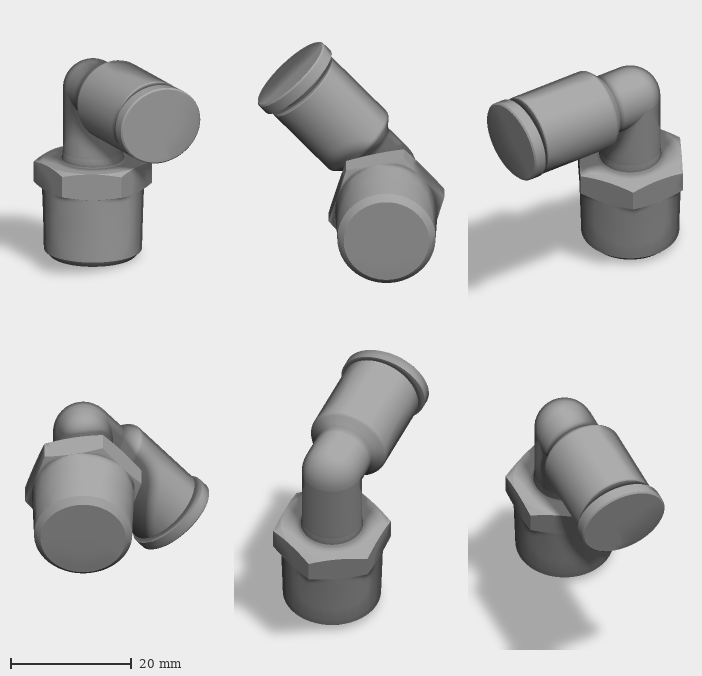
import cadquery as cq
import math

HEX_BOTTOM = 12.0
HEX_HEIGHT = 4.52
HEX_TOP = HEX_BOTTOM + HEX_HEIGHT
STEM_FOOT_RISE = 0.18
FOOT_TAPER_TOP = 17.98
SLEEVE_RADIUS = 6.8
OVERALL_HEIGHT = 35.6
PORT_AXIS_Z = OVERALL_HEIGHT - SLEEVE_RADIUS

THREAD_END_RADIUS = 8.15
RADIUS_GAIN_PER_LENGTH = 1 / 32
THREAD_CHAMFER = 1.07

HEX_ACROSS_FLATS = 17.0
HEX_CORNER_RADIUS = HEX_ACROSS_FLATS / math.sqrt(3)
HEX_CHAMFER_ANGLE = 20
HEX_FLAT_MARGIN = 0.05
HEX_CHAMFER_RADIUS = HEX_ACROSS_FLATS / 2 - HEX_FLAT_MARGIN

PIPE_DIAMETER = 10.0
PIPE_RADIUS = PIPE_DIAMETER / 2
FOOT_RADIUS = 5.15
FLARE_RADIUS = 5.5

OVERALL_LENGTH = 33.4
SHOULDER_START = 5
SHOULDER_END = 6.87
SHOULDER_FILLET = 1.0
SLEEVE_END = 20.58
SLEEVE_EDGE_CHAMFER = 0.15
COLLAR_START = 21.5
COLLAR_END = OVERALL_LENGTH - HEX_CORNER_RADIUS
NECK_RADIUS = 4.8

COLLAR_WIDTH = 15.02
COLLAR_HEIGHT = 13.0
COLLAR_CHAMFER = 0.25


def revolve_about_z(points):
    """Revolve a closed (radius, z) outline about the Z axis."""
    return cq.Workplane("XZ").polyline(points).close().revolve(360, (0, 0), (0, 1))


def make_thread():
    chamfer_radius = THREAD_END_RADIUS - THREAD_CHAMFER
    top_radius = THREAD_END_RADIUS + (HEX_BOTTOM - THREAD_CHAMFER) * RADIUS_GAIN_PER_LENGTH
    return revolve_about_z([
        (0, 0),
        (chamfer_radius, 0),
        (THREAD_END_RADIUS, THREAD_CHAMFER),
        (top_radius, HEX_BOTTOM),
        (0, HEX_BOTTOM),
    ])


def make_hexagon():
    """Hexagon with its corners turned off conically at both ends."""
    prism = (
        cq.Workplane("XY", origin=(0, 0, HEX_BOTTOM))
        .polygon(6, 2 * HEX_CORNER_RADIUS)
        .extrude(HEX_HEIGHT)
    )
    drop = (HEX_CORNER_RADIUS - HEX_CHAMFER_RADIUS) * math.tan(math.radians(HEX_CHAMFER_ANGLE))
    envelope = revolve_about_z([
        (0, HEX_BOTTOM),
        (HEX_CHAMFER_RADIUS, HEX_BOTTOM),
        (HEX_CORNER_RADIUS, HEX_BOTTOM + drop),
        (HEX_CORNER_RADIUS, HEX_TOP - drop),
        (HEX_CHAMFER_RADIUS, HEX_TOP),
        (0, HEX_TOP),
    ])
    return prism.intersect(envelope)


def make_stem():
    """Vertical pipe on a flared foot, closed by a spherical elbow."""
    pipe = revolve_about_z([
        (0, HEX_TOP),
        (FLARE_RADIUS, HEX_TOP),
        (FOOT_RADIUS, HEX_TOP + STEM_FOOT_RISE),
        (PIPE_RADIUS, FOOT_TAPER_TOP),
        (PIPE_RADIUS, PORT_AXIS_Z),
        (0, PORT_AXIS_Z),
    ])
    elbow = cq.Workplane("XY", origin=(0, 0, PORT_AXIS_Z)).sphere(PIPE_RADIUS)
    return pipe.union(elbow)


def make_port():
    """Horizontal pipe, shoulder, sleeve and neck, revolved about the port axis."""
    blend = SHOULDER_FILLET
    slope = math.atan2(SLEEVE_RADIUS - PIPE_RADIUS, SHOULDER_END - SHOULDER_START)
    tangent = blend * math.tan(slope / 2)
    bend_x = blend * math.sin(slope / 2)
    bend_r = blend * (1 - math.cos(slope / 2))
    along_x = tangent * math.cos(slope)
    along_r = tangent * math.sin(slope)
    blend_in = SHOULDER_START - tangent
    blend_out = SHOULDER_END + tangent
    return (
        cq.Workplane("XZ", origin=(0, 0, PORT_AXIS_Z))
        .lineTo(0, PIPE_RADIUS)
        .lineTo(blend_in, PIPE_RADIUS)
        .threePointArc(
            (blend_in + bend_x, PIPE_RADIUS + bend_r),
            (SHOULDER_START + along_x, PIPE_RADIUS + along_r),
        )
        .lineTo(SHOULDER_END - along_x, SLEEVE_RADIUS - along_r)
        .threePointArc(
            (blend_out - bend_x, SLEEVE_RADIUS - bend_r),
            (blend_out, SLEEVE_RADIUS),
        )
        .lineTo(SLEEVE_END - SLEEVE_EDGE_CHAMFER, SLEEVE_RADIUS)
        .lineTo(SLEEVE_END, SLEEVE_RADIUS - SLEEVE_EDGE_CHAMFER)
        .lineTo(SLEEVE_END, NECK_RADIUS)
        .lineTo(COLLAR_START, NECK_RADIUS)
        .lineTo(COLLAR_START, 0)
        .close()
        .revolve(360, (0, 0), (1, 0))
    )


def make_collar():
    return (
        cq.Workplane("YZ", origin=(COLLAR_START, 0, PORT_AXIS_Z))
        .ellipse(COLLAR_WIDTH / 2, COLLAR_HEIGHT / 2)
        .extrude(COLLAR_END - COLLAR_START)
        .faces(">X")
        .chamfer(COLLAR_CHAMFER)
    )


result = (
    make_thread()
    .union(make_hexagon())
    .union(make_stem())
    .union(make_port())
    .union(make_collar())
)